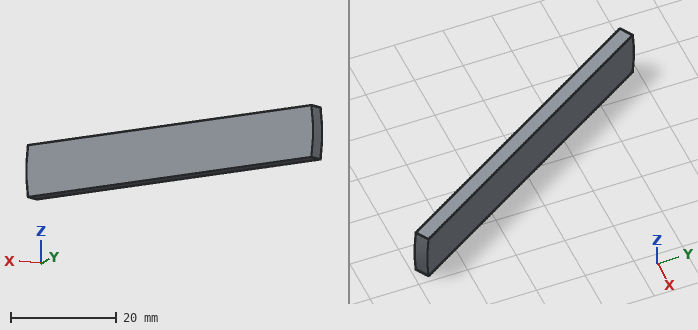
import cadquery as cq
import math

length = 67.0
thickness = 3.0
height = 10.0
heading = -58.4

half_length = length / 2
half_height = height / 2
corner_reach = math.sqrt(half_length**2 - half_height**2)

bar = (
    cq.Workplane("XZ")
    .moveTo(-corner_reach, -half_height)
    .lineTo(corner_reach, -half_height)
    .threePointArc((half_length, 0), (corner_reach, half_height))
    .lineTo(-corner_reach, half_height)
    .threePointArc((-half_length, 0), (-corner_reach, -half_height))
    .close()
    .extrude(thickness / 2, both=True)
)

result = bar.rotate((0, 0, 0), (0, 0, 1), heading)